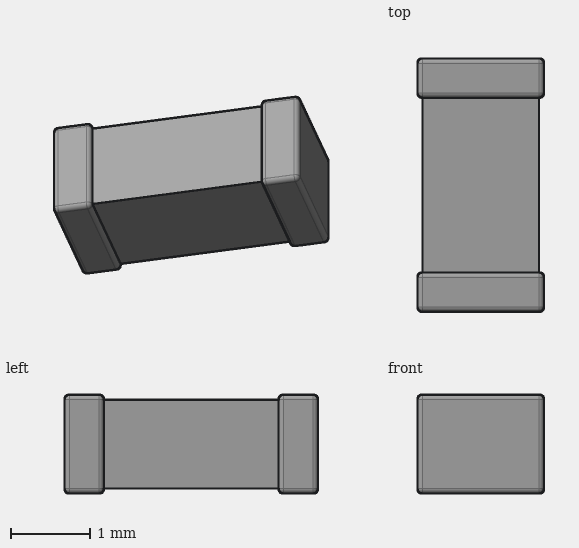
import cadquery as cq

width = 1.6
length = 3.2
height = 1.25

cap_length = 0.5
edge_radius = 0.065

body_width = width - 2 * edge_radius
body_height = height - 2 * edge_radius
body_length = length - cap_length


def end_cap(side):
    """Block with all edges rounded, at the -Y (side = -1) or +Y (side = 1) end."""
    center_y = side * (length - cap_length) / 2
    block = cq.Workplane("XY").box(width, cap_length, height)
    return block.edges().fillet(edge_radius).translate((0, center_y, 0))


result = cq.Workplane("XY").box(body_width, body_length, body_height)
for side in (-1, 1):
    result = result.union(end_cap(side))